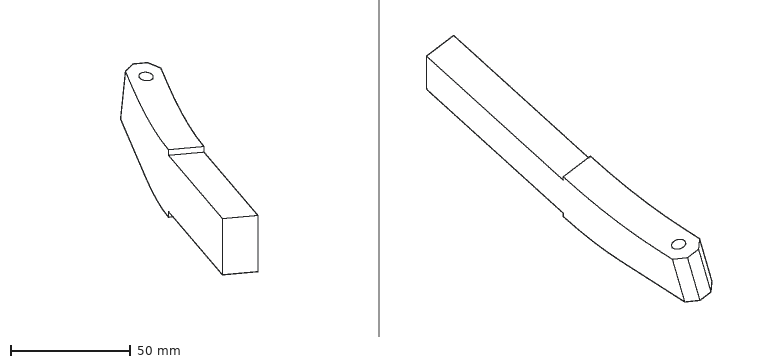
import cadquery as cq
import math

THICKNESS = 15.5
SHANK_LENGTH = 85.0
SHANK_HEIGHT = 25.0
HEAD_ROOT_HEIGHT = 30.0
ARM_LENGTH = 79.95
TIP_HEIGHT = 25.0
TILT_DEG = 18.0
TOP_STRAIGHT = 15.0
TIP_CHAMFER = 4.6
HOLE_DIAMETER = 6.0
HOLE_FROM_END = 9.45

tilt = math.radians(TILT_DEG)
cos_tilt = math.cos(tilt)
sin_tilt = math.sin(tilt)
root_top = HEAD_ROOT_HEIGHT / 2
root_bottom = -HEAD_ROOT_HEIGHT / 2

top_corner_x = -ARM_LENGTH + TIP_HEIGHT * sin_tilt
top_tangent_x = top_corner_x + TOP_STRAIGHT * cos_tilt
top_radius = -top_tangent_x / sin_tilt
top_tangent_z = root_top + top_radius * (1 - cos_tilt)
top_corner_z = top_tangent_z + TOP_STRAIGHT * sin_tilt

bottom_corner_x = -ARM_LENGTH
bottom_corner_z = top_corner_z - TIP_HEIGHT * cos_tilt
tangents_cross_x = bottom_corner_x + (bottom_corner_z - root_bottom) / math.tan(tilt)
bottom_radius = -tangents_cross_x / math.tan(tilt / 2)


def arc_point(radius, start_z, angle):
    """Point on an arc that leaves (0, start_z) horizontally and curves upward toward -X."""
    return (-radius * math.sin(angle), start_z + radius * (1 - math.cos(angle)))


def make_shank():
    return cq.Workplane("XY").box(
        SHANK_LENGTH, THICKNESS, SHANK_HEIGHT, centered=(False, True, True)
    )


def make_arm():
    return (
        cq.Workplane("XZ")
        .moveTo(0, root_bottom)
        .lineTo(0, root_top)
        .threePointArc(
            arc_point(top_radius, root_top, tilt / 2),
            arc_point(top_radius, root_top, tilt),
        )
        .lineTo(top_corner_x, top_corner_z)
        .lineTo(bottom_corner_x, bottom_corner_z)
        .lineTo(*arc_point(bottom_radius, root_bottom, tilt))
        .threePointArc(
            arc_point(bottom_radius, root_bottom, tilt / 2),
            (0, root_bottom),
        )
        .close()
        .extrude(THICKNESS / 2, both=True)
    )


def chamfer_tip(arm):
    end_face_normal = cq.Vector(-cos_tilt, 0, sin_tilt)
    end_face = arm.faces(cq.selectors.DirectionMinMaxSelector(end_face_normal, True))
    return end_face.edges("#Y").chamfer(TIP_CHAMFER)


def make_tip_hole():
    """Cylinder square to the sloping tip, passing right through it."""
    entry = cq.Vector(
        top_corner_x + HOLE_FROM_END * cos_tilt,
        0,
        top_corner_z - HOLE_FROM_END * sin_tilt,
    )
    axis = cq.Vector(-sin_tilt, 0, -cos_tilt)
    overrun = HOLE_DIAMETER
    return cq.Solid.makeCylinder(
        HOLE_DIAMETER / 2, TIP_HEIGHT + 2 * overrun, entry - axis * overrun, axis
    )


arm = chamfer_tip(make_arm()).cut(cq.Workplane(make_tip_hole()))
result = make_shank().union(arm)